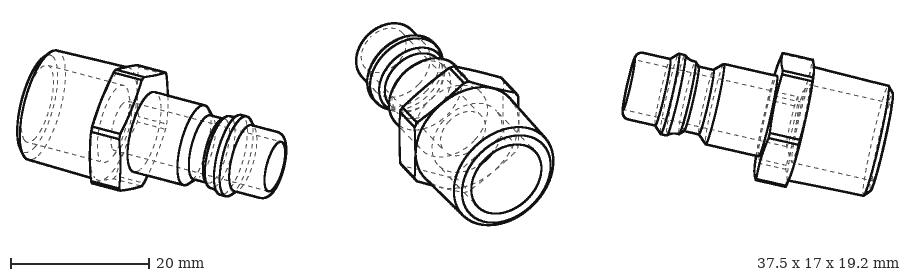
import cadquery as cq
import math

length = 37.5

thread_mouth_radius = 7.28
thread_start_radius = 8.18
thread_end_radius = 8.45
thread_chamfer_length = 0.82

hex_start = 12.0
hex_width = 4.88
hex_end = hex_start + hex_width
hex_across_flats = 17.0
hex_across_corners = 19.15
hex_face_radius = 8.48
hex_bevel_length = 0.22
hex_bevel_clearance = 0.08

body_radius = 11.95 / 2
body_end = 24.75
groove_radius = 9.6 / 2
groove_start = 26.02
groove_end = 28.25
shoulder_radius = 10.8 / 2
shoulder_start = 28.85
shoulder_end = 29.15
ring_start = 30.52
ring_end = 31.42
sweep_sag = 0.15
nose_radius = 9.9 / 2
nose_start = 32.48
nose_round = 1.0

bore_radius = 7.4 / 2
entry_radius = 11.5 / 2
entry_depth = 12.0
drill_tip_angle = 118.0


def turned_body():
    """Solid of revolution carrying every round outer surface."""
    round_start = length - nose_round
    round_mid = nose_round * math.sqrt(0.5)
    round_axis_radius = nose_radius - nose_round
    sweep_slope = math.atan2(body_radius - shoulder_radius, ring_start - shoulder_end)
    sweep_mid = (
        (shoulder_end + ring_start) / 2 + sweep_sag * math.sin(sweep_slope),
        (shoulder_radius + body_radius) / 2 - sweep_sag * math.cos(sweep_slope),
    )
    profile = (
        cq.Workplane("XZ")
        .moveTo(0, 0)
        .lineTo(0, thread_mouth_radius)
        .lineTo(thread_chamfer_length, thread_start_radius)
        .lineTo(hex_start, thread_end_radius)
        .lineTo(hex_end, thread_end_radius)
        .lineTo(hex_end, body_radius)
        .lineTo(body_end, body_radius)
        .lineTo(groove_start, groove_radius)
        .lineTo(groove_end, groove_radius)
        .lineTo(shoulder_start, shoulder_radius)
        .lineTo(shoulder_end, shoulder_radius)
        .threePointArc(sweep_mid, (ring_start, body_radius))
        .lineTo(ring_end, body_radius)
        .lineTo(nose_start, nose_radius)
        .lineTo(round_start, nose_radius)
        .threePointArc(
            (round_start + round_mid, round_axis_radius + round_mid),
            (length, round_axis_radius),
        )
        .lineTo(length, 0)
        .close()
    )
    return profile.revolve(360, (0, 0, 0), (1, 0, 0))


def hex_collar():
    """Hexagon with corners on Z, flattened corners and bevelled end faces."""
    corner_ratio = 1 / math.cos(math.radians(30))
    side_plane = cq.Workplane("YZ").workplane(offset=hex_start)
    hexagon = side_plane.polygon(6, hex_across_flats * corner_ratio).extrude(hex_width)
    hexagon = hexagon.rotate((0, 0, 0), (1, 0, 0), 30)
    corner_trim = side_plane.polygon(6, hex_across_corners * corner_ratio).extrude(hex_width)
    bevel_radius = hex_across_corners / 2 + hex_bevel_clearance
    bevel_envelope = (
        cq.Workplane("XZ")
        .moveTo(hex_start, 0)
        .lineTo(hex_start, hex_face_radius)
        .lineTo(hex_start + hex_bevel_length, bevel_radius)
        .lineTo(hex_end - hex_bevel_length, bevel_radius)
        .lineTo(hex_end, hex_face_radius)
        .lineTo(hex_end, 0)
        .close()
        .revolve(360, (0, 0, 0), (1, 0, 0))
    )
    return hexagon.intersect(corner_trim).intersect(bevel_envelope)


def bore():
    """Through bore with a wide entry that ends in a drill-point cone."""
    cone_length = (entry_radius - bore_radius) / math.tan(math.radians(drill_tip_angle / 2))
    return (
        cq.Workplane("XZ")
        .moveTo(0, 0)
        .lineTo(0, entry_radius)
        .lineTo(entry_depth, entry_radius)
        .lineTo(entry_depth + cone_length, bore_radius)
        .lineTo(length, bore_radius)
        .lineTo(length, 0)
        .close()
        .revolve(360, (0, 0, 0), (1, 0, 0))
    )


result = turned_body().union(hex_collar()).cut(bore())